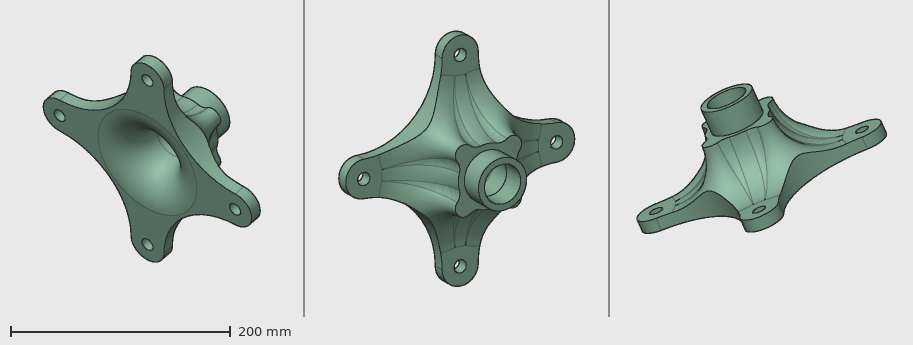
import cadquery as cq
import math

plate_thickness = 12.7
bolt_radius = 101.6
bolt_hole_diameter = 12.7
arm_end_radius = 19.05
arm_count = 4
side_radius = bolt_radius - arm_end_radius

flare_radius = 50.8
horn_top = plate_thickness + flare_radius
core_radius = 31.75
lobe_radius = 9.525
lobe_offset = 25.4
valley_radius = 12.7

pipe_inner_radius = 19.05
pipe_outer_radius = 25.4
bell_radius = 38.1
pipe_length = 25.4


def flare(neck_radius):
    """Flared stem about Y: widens from its neck until it runs out flat on the plate."""
    rim_radius = neck_radius + flare_radius
    middle = flare_radius * math.sqrt(0.5)
    return (
        cq.Workplane("XY")
        .moveTo(0, plate_thickness)
        .lineTo(rim_radius, plate_thickness)
        .threePointArc((rim_radius - middle, horn_top - middle), (neck_radius, horn_top))
        .lineTo(0, horn_top)
        .close()
        .revolve(360, (0, 0, 0), (0, 1, 0))
    )


def is_valley(edge):
    """Seams between core and lobes run from the horn top down to the plate."""
    half_flare = flare_radius / 2
    return edge.BoundingBox().ylen > half_flare


def turned(along, across, angle):
    """Point given along and across an arm, turned with the arm about the centre."""
    return (
        along * math.cos(angle) - across * math.sin(angle),
        along * math.sin(angle) + across * math.cos(angle),
    )


def plate_outline():
    """Four round-tipped arms joined by concave arcs, centred on the origin."""
    tip = bolt_radius + arm_end_radius
    inner = bolt_radius - side_radius * math.sqrt(0.5)
    outline = cq.Workplane("XZ").moveTo(bolt_radius, -arm_end_radius)
    for arm in range(arm_count):
        angle = 2 * math.pi * arm / arm_count
        tip_end = turned(bolt_radius, arm_end_radius, angle)
        side_end = turned(arm_end_radius, bolt_radius, angle)
        outline = outline.threePointArc(turned(tip, 0, angle), tip_end)
        outline = outline.threePointArc(turned(inner, inner, angle), side_end)
    return outline.close()


def make_horn():
    """Central flare and four corner flares, with filleted valleys between them."""
    horn = flare(core_radius)
    for x in (-lobe_offset, lobe_offset):
        for z in (-lobe_offset, lobe_offset):
            horn = horn.union(flare(lobe_radius).translate((x, 0, z)))
    return horn.edges().filter(is_valley).fillet(valley_radius)


def make_bell_cutter():
    """Bell mouth that opens from the throat to the front face along a quarter circle."""
    mouth_radius = pipe_inner_radius + bell_radius
    middle = bell_radius * math.sqrt(0.5)
    return (
        cq.Workplane("XY")
        .lineTo(mouth_radius, 0)
        .threePointArc((mouth_radius - middle, bell_radius - middle), (pipe_inner_radius, bell_radius))
        .lineTo(0, bell_radius)
        .close()
        .revolve(360, (0, 0, 0), (0, 1, 0))
    )


def cylinder(radius, start, length):
    """Cylinder along +Y that begins at the given Y."""
    return cq.Workplane("XZ", origin=(0, start, 0)).circle(radius).extrude(-length)


def make_flange():
    """Plate and horn in one piece, with the bell mouth, bore and bolt holes cut."""
    plate = plate_outline().extrude(-plate_thickness)
    envelope = plate_outline().extrude(-horn_top)
    flange = plate.union(make_horn().intersect(envelope))
    flange = flange.cut(make_bell_cutter())
    flange = flange.cut(cylinder(pipe_inner_radius, bell_radius, horn_top - bell_radius))
    for arm in range(arm_count):
        x, z = turned(bolt_radius, 0, 2 * math.pi * arm / arm_count)
        bolt_hole = cylinder(bolt_hole_diameter / 2, 0, plate_thickness).translate((x, 0, z))
        flange = flange.cut(bolt_hole)
    return flange


def make_pipe():
    """Plain pipe that continues the bore beyond the horn top."""
    pipe = cylinder(pipe_outer_radius, horn_top, pipe_length)
    return pipe.cut(cylinder(pipe_inner_radius, horn_top, pipe_length))


flange = make_flange()
pipe = make_pipe()

result = cq.Compound.makeCompound([flange.solids().val(), pipe.solids().val()])